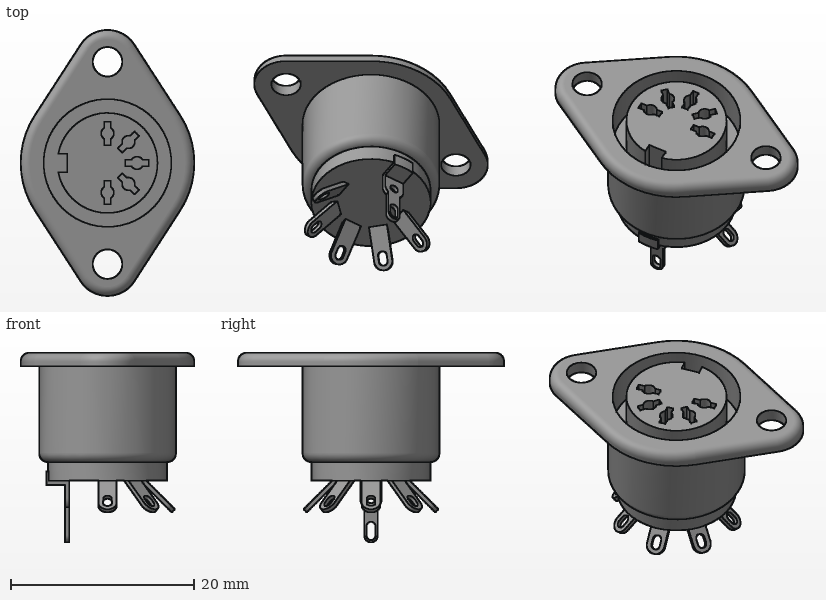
import cadquery as cq
import math


flange_thickness = 1.5
flange_edge_radius = 1.0
flange_width = 19.0
flange_half_width = flange_width / 2
flange_half_length = 14.55
flange_end_radius = 3.5
screw_hole_y = flange_half_length - flange_end_radius
screw_hole_diameter = 3.2

shell_diameter = 15.0
shell_bottom = -12.0
shell_edge_radius = 1.0
base_radius = 6.52
base_bottom = -14.0

recess_radius = 6.98
recess_depth = 4.5
island_radius = 5.47
key_width = 2.05
key_floor_x = -4.4

contact_angles = (-90, -45, 0, 45, 90)
contact_circle_radius = 3.23
contact_slot_length = 2.6
contact_slot_width = 0.7
contact_bore_diameter = 1.4

sheet_thickness = 0.5
eyelet_width = 0.95

tail_width = 2.0
tail_tilt = 45
tail_exit_radius = 4.25
tail_length = 4.42
tail_root = 0.87
tail_eyelet_length = 1.57

lug_width = 2.35
lug_outer_radius = 6.72
lug_band_top = -12.98
lug_shelf_bottom = base_bottom - sheet_thickness
lug_leg_outer_x = -4.65
lug_hole_z = -15.98
lug_tip_width = 1.48
lug_bottom = -20.75
lug_eyelet_length = 1.98


def cylinder(radius, top, bottom):
    """Vertical cylinder on the socket axis."""
    return cq.Workplane("XY").workplane(offset=bottom).circle(radius).extrude(top - bottom)


def flange():
    """Oval plate: a large centre arc and two end arcs joined by tangent lines."""
    normal_y = (flange_half_width - flange_end_radius) / screw_hole_y
    normal_x = math.sqrt(1 - normal_y**2)
    side_x = flange_half_width * normal_x
    side_y = flange_half_width * normal_y
    end_x = flange_end_radius * normal_x
    end_y = screw_hole_y + flange_end_radius * normal_y
    plate = (
        cq.Workplane("XY")
        .workplane(offset=-flange_thickness)
        .moveTo(side_x, -side_y)
        .threePointArc((flange_half_width, 0), (side_x, side_y))
        .lineTo(end_x, end_y)
        .threePointArc((0, flange_half_length), (-end_x, end_y))
        .lineTo(-side_x, side_y)
        .threePointArc((-flange_half_width, 0), (-side_x, -side_y))
        .lineTo(-end_x, -end_y)
        .threePointArc((0, -flange_half_length), (end_x, -end_y))
        .close()
        .extrude(flange_thickness)
    )
    return (
        plate.faces(">Z")
        .edges()
        .fillet(flange_edge_radius)
        .faces(">Z")
        .workplane(origin=(0, 0, 0))
        .pushPoints([(0, screw_hole_y), (0, -screw_hole_y)])
        .hole(screw_hole_diameter)
    )


def shell():
    """Round housing with a rounded lower rim."""
    body = cylinder(shell_diameter / 2, -flange_thickness, shell_bottom)
    return body.faces("<Z").edges().fillet(shell_edge_radius)


def plug_recess():
    """Ring-shaped recess, including the key notch cut into the island."""
    island = cylinder(island_radius, 0, -recess_depth)
    key_length = island_radius + key_floor_x
    key_notch = (
        cq.Workplane("XY")
        .center(key_floor_x - key_length / 2, 0)
        .rect(key_length, key_width)
        .extrude(-recess_depth)
    )
    return cylinder(recess_radius, 0, -recess_depth).cut(island.cut(key_notch))


def contact_opening(angle):
    """Radial slot with a round bore at its middle."""
    centre = cq.Workplane("XY").center(contact_circle_radius, 0)
    slot = centre.rect(contact_slot_length, contact_slot_width).extrude(-recess_depth)
    bore = centre.circle(contact_bore_diameter / 2).extrude(-recess_depth)
    return slot.union(bore).rotate((0, 0, 0), (0, 0, 1), angle)


def contact_tail(angle):
    """Round-ended solder tail with an eyelet, leaving the base at a slant."""
    end_centre = tail_length - tail_width / 2
    eyelet_centre = end_centre - (tail_eyelet_length - eyelet_width) / 2
    sheet = cq.Workplane("YZ")
    tail = (
        sheet.moveTo(-tail_width / 2, tail_root)
        .lineTo(-tail_width / 2, -end_centre)
        .threePointArc((0, -tail_length), (tail_width / 2, -end_centre))
        .lineTo(tail_width / 2, tail_root)
        .close()
        .extrude(-sheet_thickness)
    )
    eyelet = (
        sheet.center(0, -eyelet_centre)
        .slot2D(tail_eyelet_length, eyelet_width, 90)
        .extrude(-sheet_thickness)
    )
    return (
        tail.cut(eyelet)
        .rotate((0, 0, 0), (0, 1, 0), -tail_tilt)
        .translate((tail_exit_radius, 0, base_bottom))
        .rotate((0, 0, 0), (0, 0, 1), angle)
    )


def ground_lug():
    """Lug that hugs the base side, runs inward under it and hangs down as a leg."""
    lug_inner_x = lug_leg_outer_x + sheet_thickness
    shelf_strip = (
        cq.Workplane("XY")
        .workplane(offset=lug_shelf_bottom)
        .center((lug_inner_x - lug_outer_radius) / 2, 0)
        .rect(lug_inner_x + lug_outer_radius, lug_width)
        .extrude(lug_band_top - lug_shelf_bottom)
    )
    bracket = cylinder(lug_outer_radius, lug_band_top, lug_shelf_bottom).intersect(shelf_strip)

    leg_plane = cq.Workplane("YZ").workplane(offset=lug_leg_outer_x)
    tip_centre_z = lug_bottom + lug_tip_width / 2
    eyelet_bottom = tip_centre_z - eyelet_width / 2
    leg_head = (
        leg_plane.moveTo(-lug_width / 2, base_bottom)
        .lineTo(-lug_width / 2, lug_hole_z)
        .threePointArc((0, lug_hole_z - lug_width / 2), (lug_width / 2, lug_hole_z))
        .lineTo(lug_width / 2, base_bottom)
        .close()
        .extrude(sheet_thickness)
    )
    leg_tip = (
        leg_plane.moveTo(-lug_tip_width / 2, lug_hole_z)
        .lineTo(-lug_tip_width / 2, tip_centre_z)
        .threePointArc((0, lug_bottom), (lug_tip_width / 2, tip_centre_z))
        .lineTo(lug_tip_width / 2, lug_hole_z)
        .close()
        .extrude(sheet_thickness)
    )
    round_hole = leg_plane.center(0, lug_hole_z).circle(eyelet_width / 2).extrude(sheet_thickness)
    eyelet = (
        leg_plane.center(0, eyelet_bottom + lug_eyelet_length / 2)
        .slot2D(lug_eyelet_length, eyelet_width, 90)
        .extrude(sheet_thickness)
    )
    return bracket.union(leg_head).union(leg_tip).cut(round_hole).cut(eyelet)


base = cylinder(base_radius, shell_bottom, base_bottom)
result = flange().union(shell()).union(base).cut(plug_recess()).union(ground_lug())
for contact_angle in contact_angles:
    result = result.cut(contact_opening(contact_angle)).union(contact_tail(contact_angle))